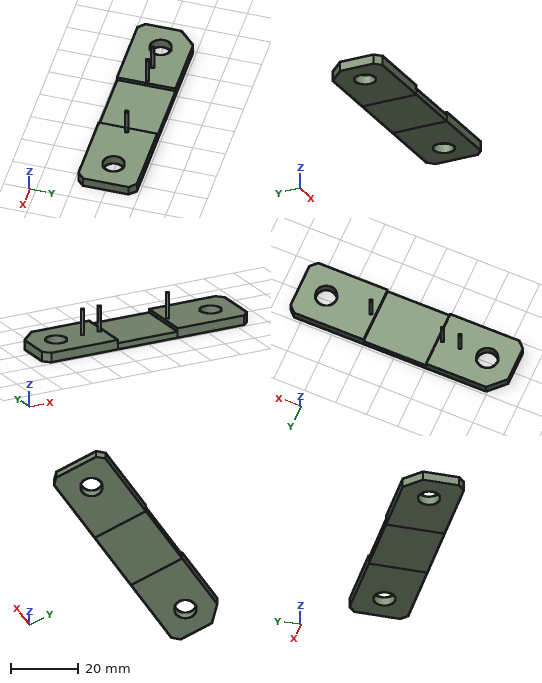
import cadquery as cq

length = 69.0
width = 18.0
overall_height = 11.05
terminal_thickness = 3.05
element_length = 20.15
element_thickness = 2.0
terminal_length = (length - element_length) / 2

bolt_hole_diameter = 6.55
bolt_hole_offset = 26.0
small_chamfer = 2.0
large_chamfer = 5.0

pin_diameter = 1.0
pin_height = overall_height - terminal_thickness
inner_pin_offset = 11.5
outer_pin_offset = 17.2
pin_positions = [-outer_pin_offset, -inner_pin_offset, inner_pin_offset]


def make_terminal(side, back_chamfer):
    """Terminal plate on the left (side = -1) or right (side = 1)."""
    inner_x = side * element_length / 2
    outer_x = inner_x + side * terminal_length
    half_width = width / 2
    plate = (
        cq.Workplane("XY")
        .moveTo(inner_x, -half_width)
        .lineTo(outer_x - side * small_chamfer, -half_width)
        .lineTo(outer_x, -half_width + small_chamfer)
        .lineTo(outer_x, half_width - back_chamfer)
        .lineTo(outer_x - side * back_chamfer, half_width)
        .lineTo(inner_x, half_width)
        .close()
        .extrude(terminal_thickness)
    )
    bolt_hole = (
        cq.Workplane("XY")
        .center(side * bolt_hole_offset, 0)
        .circle(bolt_hole_diameter / 2)
        .extrude(terminal_thickness)
    )
    return plate.cut(bolt_hole)


def make_resistive_element():
    """Thinner strip joining the two terminals, flush underneath."""
    return cq.Workplane("XY").box(
        element_length, width, element_thickness, centered=(True, True, False)
    )


def make_pin(x):
    """Round pin standing on the top face of a terminal."""
    return (
        cq.Workplane("XY", origin=(x, 0, terminal_thickness))
        .circle(pin_diameter / 2)
        .extrude(pin_height)
    )


left_terminal = make_terminal(-1, large_chamfer)
right_terminal = make_terminal(1, small_chamfer)
resistive_element = make_resistive_element()
pins = [make_pin(x) for x in pin_positions]

result = cq.Compound.makeCompound(
    [left_terminal.val(), resistive_element.val(), right_terminal.val()]
    + [pin.val() for pin in pins]
)